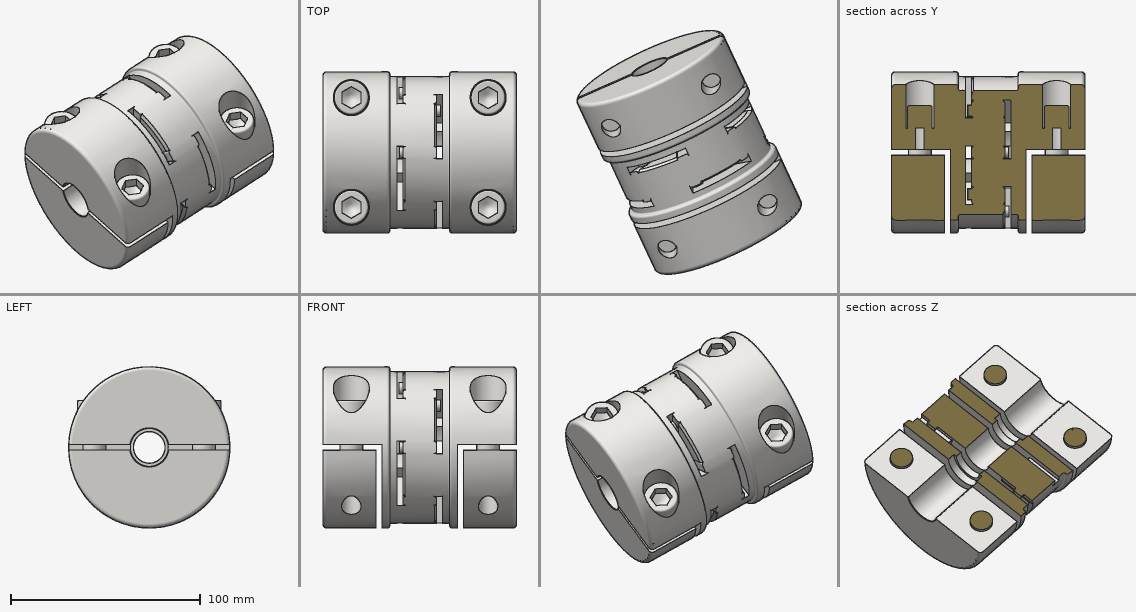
import cadquery as cq
import math

length = 102.0
hub_diameter = 85.0
hub_length = 35.3
waist_diameter = 80.0
hub_outer_fillet = 2.0
hub_inner_fillet = 1.3
waist_fillet = 0.7
half_length = length / 2
hub_inner_x = half_length - hub_length
selection_margin = 0.1

shaft_bore_diameter = 20.0
centre_bore_diameter = 16.5
bore_chamfer = 0.3

split_width = 3.0
cap_length = 28.0
cap_gap = 3.1

screw_end_distance = 15.0
screw_x = half_length - screw_end_distance
screw_y = 28.9
shank_diameter = 12.0
shank_length = 30.0
clearance_diameter = 13.0
head_diameter = 18.0
head_height = 12.0
head_top = 24.8
head_fillet = 1.0
head_bottom = head_top - head_height
counterbore_diameter = 19.0
tapped_hole_diameter = 10.2
socket_across_flats = 10.0
socket_depth = 5.1
socket_cone_depth = 2.9

slots_per_ring = 4
slot_pitch = 360 / slots_per_ring
slot_span = 45.0
slot_outer_x = 11.9
slot_inner_x = 8.9
slot_core_diameter = 38.0
core_overlap = 1.0
pocket_width = 6.5
land_fillet = 1.3
slot_chamfer_width = 1.0
slot_chamfer_depth = 2.0
pocket_half_angle = math.degrees(math.asin(pocket_width / waist_diameter))

pin_diameter = 6.0
pin_circle_radius = 31.1
pin_tip_x = 10.8


def cylinder_x(diameter, start_x, end_x):
    return cq.Workplane("YZ").workplane(offset=start_x).circle(diameter / 2).extrude(end_x - start_x)


def cylinder_z(diameter, start_z, end_z):
    return cq.Workplane("XY").workplane(offset=start_z).circle(diameter / 2).extrude(end_z - start_z)


def turn(shape, angle):
    """Rotate a shape about the coupling axis."""
    return shape.rotate((0, 0, 0), (1, 0, 0), angle)


def swap_ends(shape):
    """Half turn about Z, carrying a -X feature to the +X end."""
    return shape.rotate((0, 0, 0), (0, 0, 1), 180)


def edges_between_hubs(radius):
    """Selector for edges inside the given radius, from one hub's inner face to the other's."""
    reach_x = hub_inner_x + selection_margin
    reach_radius = radius + selection_margin
    return cq.selectors.BoxSelector(
        (-reach_x, -reach_radius, -reach_radius),
        (reach_x, reach_radius, reach_radius),
        boundingbox=True,
    )


def make_body():
    hub_radius = hub_diameter / 2
    waist_radius = waist_diameter / 2
    profile = [
        (-half_length, 0),
        (-half_length, hub_radius),
        (-hub_inner_x, hub_radius),
        (-hub_inner_x, waist_radius),
        (hub_inner_x, waist_radius),
        (hub_inner_x, hub_radius),
        (half_length, hub_radius),
        (half_length, 0),
    ]
    body = cq.Workplane("XY").polyline(profile).close().revolve(360, (0, 0, 0), (1, 0, 0))
    body = body.faces("<X or >X").edges().fillet(hub_outer_fillet)

    waist_corners = body.edges("%CIRCLE").edges(edges_between_hubs(waist_radius))
    body = waist_corners.fillet(waist_fillet)
    rims = body.edges("%CIRCLE").edges(edges_between_hubs(hub_radius))
    rims = rims.edges(cq.selectors.RadiusNthSelector(-1))
    return rims.fillet(hub_inner_fillet)


def cut_bores(body):
    body = body.cut(cylinder_x(centre_bore_diameter, -half_length, half_length))
    shaft_bore = cylinder_x(shaft_bore_diameter, -half_length, -hub_inner_x)
    body = body.cut(shaft_bore).cut(swap_ends(shaft_bore))
    mouths = body.faces("<X or >X").edges(cq.selectors.RadiusNthSelector(0))
    return mouths.chamfer(bore_chamfer)


def slot_sector():
    """Part-ring cutter starting at -Y and sweeping over the slot span."""
    inner_radius = slot_core_diameter / 2 - core_overlap
    outer_radius = hub_diameter / 2
    profile = cq.Workplane("XY").moveTo(-slot_outer_x, -inner_radius).lineTo(-slot_inner_x, -inner_radius)
    profile = profile.lineTo(-slot_inner_x, -outer_radius).lineTo(-slot_outer_x, -outer_radius).close()
    return profile.revolve(slot_span, (0, 0, 0), (1, 0, 0))


def slot_edge_chamfer():
    """Chamfer cutter for the inboard slot edge, between its two end pockets."""
    waist_radius = waist_diameter / 2
    profile = [
        (-slot_inner_x, -waist_radius),
        (-slot_inner_x + slot_chamfer_width, -waist_radius),
        (-slot_inner_x, -waist_radius + slot_chamfer_depth),
    ]
    chamfer_span = slot_span - 2 * pocket_half_angle
    chamfer = cq.Workplane("XY").polyline(profile).close().revolve(chamfer_span, (0, 0, 0), (1, 0, 0))
    return turn(chamfer, pocket_half_angle)


def slot_end_pocket():
    """Radial pocket whose inboard wall is a land with rounded corners."""
    land_x = -slot_inner_x
    tip_x = land_x + land_fillet
    half_width = pocket_width / 2
    half_land = half_width - land_fillet
    arc_offset = land_fillet * math.sqrt(0.5)
    mid_x = tip_x - arc_offset
    mid_z = half_land + arc_offset
    start_radius = slot_core_diameter / 2 - core_overlap
    return (
        cq.Workplane("XZ")
        .workplane(offset=start_radius)
        .moveTo(-slot_outer_x, -half_width)
        .lineTo(tip_x, -half_width)
        .threePointArc((mid_x, -mid_z), (land_x, -half_land))
        .lineTo(land_x, half_land)
        .threePointArc((mid_x, mid_z), (tip_x, half_width))
        .lineTo(-slot_outer_x, half_width)
        .close()
        .extrude(hub_diameter / 2 - start_radius)
    )


def slot_ring_cutter():
    """All cuts of the slot ring at the -X end of the waist."""
    cutter = cylinder_x(slot_core_diameter, -slot_outer_x, -slot_inner_x)
    slot = slot_sector().union(slot_edge_chamfer())
    for angle in (0, slot_span):
        slot = slot.union(turn(slot_end_pocket(), angle))
    for index in range(slots_per_ring):
        cutter = cutter.union(turn(slot, index * slot_pitch))
    return cutter


def stop_pins(first_angle):
    """Pins standing on the lands of the -X slot ring."""
    pin = cylinder_x(pin_diameter, -pin_tip_x, -slot_inner_x + land_fillet)
    pin = pin.translate((0, -pin_circle_radius, 0))
    pins = turn(pin, first_angle)
    for index in range(1, slots_per_ring):
        pins = pins.union(turn(pin, first_angle + index * slot_pitch))
    return pins


def clamp_cutter():
    """Split plane and cross gap that free the lower cap of the -X hub."""
    split_length = cap_length + cap_gap
    split = cq.Workplane("XY").box(split_length, hub_diameter, split_width)
    split = split.translate((-half_length + split_length / 2, 0, 0))
    gap_height = (hub_diameter + split_width) / 2
    gap = cq.Workplane("XY").box(cap_gap, hub_diameter, gap_height)
    gap_x = -half_length + cap_length + cap_gap / 2
    gap_z = (split_width - gap_height) / 2
    gap = gap.translate((gap_x, 0, gap_z))
    return split.union(gap)


def screw_hole():
    clearance = cylinder_z(clearance_diameter, 0, head_bottom)
    counterbore = cylinder_z(counterbore_diameter, head_bottom, hub_diameter / 2)
    tapped_hole = cylinder_z(tapped_hole_diameter, -hub_diameter / 2, 0)
    return clearance.union(counterbore).union(tapped_hole)


def clamp_screw():
    head = cylinder_z(head_diameter, head_bottom, head_top)
    head = head.faces(">Z").edges().fillet(head_fillet)
    shank = cylinder_z(shank_diameter, head_bottom - shank_length, head_bottom)

    socket_corner_radius = socket_across_flats / math.sqrt(3)
    socket_floor = head_top - socket_depth
    total_depth = socket_depth + socket_cone_depth
    socket = (
        cq.Workplane("XY")
        .workplane(offset=head_top - total_depth)
        .polygon(6, 2 * socket_corner_radius)
        .extrude(total_depth)
        .rotate((0, 0, 0), (0, 0, 1), 90)
    )
    cone = cq.Solid.makeCone(0, socket_corner_radius, socket_cone_depth)
    cone = cq.Workplane(cone.translate(cq.Vector(0, 0, socket_floor - socket_cone_depth)))
    drill = cylinder_z(2 * socket_corner_radius, socket_floor, head_top).union(cone)
    return head.union(shank).cut(socket.intersect(drill))


def add_clamps(body):
    cutter = clamp_cutter()
    body = body.cut(cutter).cut(swap_ends(cutter))
    places = [(x, y, 0) for x in (-screw_x, screw_x) for y in (-screw_y, screw_y)]
    for place in places:
        body = body.cut(screw_hole().translate(place))
        body = body.union(clamp_screw().translate(place))
    return body


def add_flexures(body):
    cutter = slot_ring_cutter()
    body = body.cut(cutter).cut(swap_ends(cutter))
    body = body.union(stop_pins(0))
    return body.union(swap_ends(stop_pins(slot_span)))


result = add_clamps(add_flexures(cut_bores(make_body())))